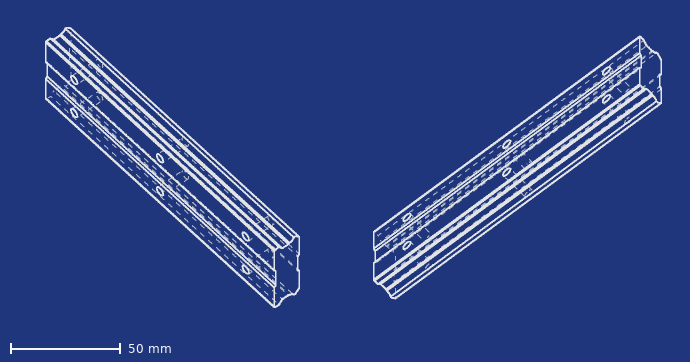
import cadquery as cq
import math

length = 160.0
thickness = 15.0
height = 42.0
front = -thickness / 2
back = thickness / 2
half_height = height / 2

bevel = 2.4
bevel_rounding = 0.5
front_chamfer = 0.5

groove_depth = 2.4
groove_start = 3.4
race_end = 6.0
race_depth = 2.0
race_sag = 0.56
floor_start = 6.5
floor_end = 10.2
groove_end = 12.2

channel_depth = 1.0
channel_mouth = 12.3
channel_floor = 10.2

hole_diameter = 4.5
hole_pitch_x = 60.0
hole_pitch_z = 24.0
hole_columns = 3
hole_rows = 2


def along_rail(sketch):
    """Extrude a YZ outline over the full length, centred on X = 0."""
    return sketch.extrude(length / 2, both=True)


def body():
    rail = cq.Workplane("XY").box(length, thickness, height)
    rail = rail.edges("|X and >Y").chamfer(bevel)
    rail = rail.edges("|X and <Y").chamfer(front_chamfer)
    bevel_edges = rail.edges(cq.selectors.BoxSelector(
        (-length, back - 2 * bevel, -height),
        (length, back + bevel, height),
    )).edges("|X")
    return bevel_edges.fillet(bevel_rounding)


def edge_groove(side):
    """Groove with a curved race, cut in the top (side = 1) or bottom (side = -1)."""

    def point(from_back, depth):
        return (back - from_back, side * (half_height - depth))

    race_width = race_end - groove_start
    chord = math.hypot(race_width, race_depth)
    race_middle = point(
        (groove_start + race_end) / 2 - race_sag * race_depth / chord,
        race_depth / 2 + race_sag * race_width / chord,
    )

    outline = (
        cq.Workplane("YZ")
        .moveTo(*point(groove_start, 0))
        .threePointArc(race_middle, point(race_end, race_depth))
        .lineTo(*point(floor_start, groove_depth))
        .lineTo(*point(floor_end, groove_depth))
        .lineTo(*point(groove_end, 0))
        .close()
    )
    return along_rail(outline)


def face_channel(face):
    """Channel with sloping sides, cut in the front or back face."""
    inward = -math.copysign(channel_depth, face)
    outline = cq.Workplane("YZ").polyline([
        (face, -channel_mouth / 2),
        (face + inward, -channel_floor / 2),
        (face + inward, channel_floor / 2),
        (face, channel_mouth / 2),
    ]).close()
    return along_rail(outline)


def mounting_holes():
    return (
        cq.Workplane("XZ")
        .rarray(hole_pitch_x, hole_pitch_z, hole_columns, hole_rows)
        .circle(hole_diameter / 2)
        .extrude(thickness, both=True)
    )


result = body()
for side in (1, -1):
    result = result.cut(edge_groove(side))
for face in (front, back):
    result = result.cut(face_channel(face))
result = result.cut(mounting_holes())